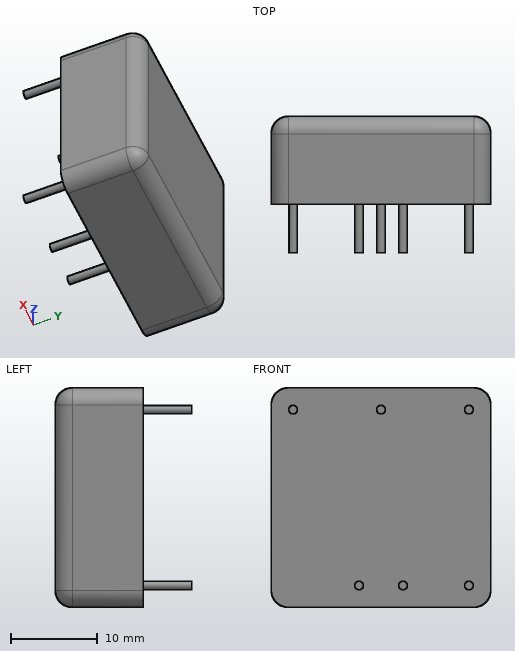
import cadquery as cq

case_side = 25.4
case_depth = 10.2
edge_radius = 2.0
pin_diameter = 1.0
pin_length = 5.6

pitch = 2.54
row_offset = 4 * pitch
upper_pins_x = [-4 * pitch, 0, 4 * pitch]
lower_pins_x = [-pitch, pitch, 4 * pitch]


def make_case():
    """Case from y = 0 to y = case_depth, rounded at the corners and the back rim."""
    block = cq.Workplane("XY").box(
        case_side, case_depth, case_side, centered=(True, False, True)
    )
    return block.edges("|Y").fillet(edge_radius).faces(">Y").edges().fillet(edge_radius)


def make_pins():
    """Round pins standing out of the case's flat face toward -Y."""
    pin_centers = [(x, row_offset) for x in upper_pins_x]
    pin_centers += [(x, -row_offset) for x in lower_pins_x]
    return (
        cq.Workplane("XZ")
        .pushPoints(pin_centers)
        .circle(pin_diameter / 2)
        .extrude(pin_length)
    )


result = make_case().union(make_pins())